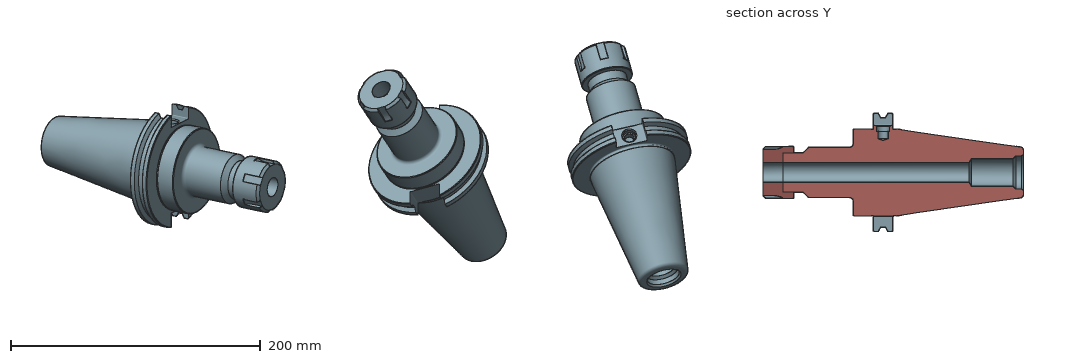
import cadquery as cq
import math

total_length = 208.8
gauge_x = 101.5
gauge_land_end_x = 102.0
flange_front_x = 104.5
flange_width = 15.9
relief_width = 1.3
collar_end_x = 136.5
shank_end_x = 172.3
nut_rear_x = 184.0

gauge_diameter = 70.0
taper_ratio = 7 / 24
flange_diameter = 98.1
relief_diameter = 69.3
shank_diameter = 40.5
nose_diameter = 32.0
small_end_fillet = 3.1
shank_fillet = 3.0
flange_fillet = 0.8
edge_chamfer = 0.6

groove_bottom_diameter = 91.5
groove_bottom_width = 3.8
groove_side_angle = 30.0

notch_width = 25.5
upper_notch_floor_z = 37.5
lower_notch_floor_z = -35.0
notch_fillet = 0.6
screw_hole_diameter = 8.0
screw_hole_depth = 10.5
screw_counterbore_diameter = 10.2
screw_counterbore_depth = 4.8
screw_mouth_diameter = 12.1
screw_mouth_angle = 90.0
drill_point_angle = 140.0

through_diameter = 15.7
mouth_diameter = 28.4
mouth_depth = 1.9
counterbore_diameter = 26.3
counterbore_depth = 6.3
thread_bore_diameter = 22.0
thread_bore_depth = 41.8
thread_bore_end_angle = 118.0

nut_diameter = 42.0
nut_front_chamfer = 2.0
nose_insertion = 8.8
slot_count = 6
slot_width = 6.5
slot_start_x = 193.1
slot_start_radius = 20.3
slot_flat_x = 200.6
slot_floor_radius = 18.5

flange_rear_x = flange_front_x + flange_width
flange_middle_x = flange_front_x + flange_width / 2
flange_radius = flange_diameter / 2
small_end_diameter = gauge_diameter - taper_ratio * gauge_x
nose_end_x = nut_rear_x + nose_insertion


def cylinder_x(diameter, start_x, end_x):
    """Cylinder on the X axis between two stations."""
    return cq.Workplane("YZ", origin=(start_x, 0, 0)).circle(diameter / 2).extrude(end_x - start_x)


def revolve_x(profile):
    """Full turn of an XY profile (Y is the radius) about the X axis."""
    return profile.close().revolve(360, (0, 0, 0), (1, 0, 0))


def taper():
    small_radius = small_end_diameter / 2
    profile = (
        cq.Workplane("XY")
        .moveTo(0, 0)
        .lineTo(0, small_radius)
        .lineTo(gauge_x, gauge_diameter / 2)
        .lineTo(gauge_x, 0)
    )
    return revolve_x(profile).faces("<X").edges().fillet(small_end_fillet)


def flange():
    disc = cylinder_x(flange_diameter, flange_front_x, flange_rear_x).edges().chamfer(edge_chamfer)
    return disc.cut(flange_groove())


def flange_groove():
    bottom_radius = groove_bottom_diameter / 2
    bottom_half = groove_bottom_width / 2
    depth = flange_radius - bottom_radius
    top_half = bottom_half + depth * math.tan(math.radians(groove_side_angle))
    profile = (
        cq.Workplane("XY")
        .moveTo(flange_middle_x - bottom_half, bottom_radius)
        .lineTo(flange_middle_x + bottom_half, bottom_radius)
        .lineTo(flange_middle_x + top_half, flange_radius)
        .lineTo(flange_middle_x - top_half, flange_radius)
    )
    return revolve_x(profile)


def collar():
    """Narrow gauge land, filleted front neck, relief behind the flange and rear collar."""
    neck_radius = relief_diameter / 2
    profile = (
        cq.Workplane("XY")
        .moveTo(gauge_x, 0)
        .lineTo(gauge_x, gauge_diameter / 2)
        .lineTo(gauge_land_end_x, gauge_diameter / 2)
        .lineTo(gauge_land_end_x, neck_radius)
        .lineTo(flange_front_x - flange_fillet, neck_radius)
        .radiusArc((flange_front_x, neck_radius + flange_fillet), -flange_fillet)
        .lineTo(flange_rear_x, neck_radius + flange_fillet)
        .lineTo(flange_rear_x, 0)
    )
    front_neck = revolve_x(profile)
    relief = cylinder_x(relief_diameter, flange_rear_x, flange_rear_x + relief_width)
    rear_land = cylinder_x(gauge_diameter, flange_rear_x + relief_width, collar_end_x)
    rear_land = rear_land.faces(">X").edges().chamfer(edge_chamfer)
    return front_neck.union(relief).union(rear_land)


def shank_and_nose():
    """Shank with a concave root fillet, a 45 degree shoulder and the nose that carries the nut."""
    shank_radius = shank_diameter / 2
    nose_radius = nose_diameter / 2
    shoulder = shank_radius - nose_radius
    profile = (
        cq.Workplane("XY")
        .moveTo(collar_end_x, 0)
        .lineTo(collar_end_x, shank_radius + shank_fillet)
        .radiusArc((collar_end_x + shank_fillet, shank_radius), -shank_fillet)
        .lineTo(shank_end_x, shank_radius)
        .lineTo(shank_end_x + shoulder, nose_radius)
        .lineTo(nose_end_x, nose_radius)
        .lineTo(nose_end_x, 0)
    )
    return revolve_x(profile)


def bore():
    mouth_radius = mouth_diameter / 2
    counterbore_radius = counterbore_diameter / 2
    thread_radius = thread_bore_diameter / 2
    through_radius = through_diameter / 2
    shoulder_depth = counterbore_depth + counterbore_radius - thread_radius
    bore_end_slope = math.tan(math.radians(thread_bore_end_angle / 2))
    bore_end_depth = thread_bore_depth + (thread_radius - through_radius) / bore_end_slope
    profile = (
        cq.Workplane("XY")
        .moveTo(0, 0)
        .lineTo(0, mouth_radius)
        .lineTo(mouth_depth, counterbore_radius)
        .lineTo(counterbore_depth, counterbore_radius)
        .lineTo(shoulder_depth, thread_radius)
        .lineTo(thread_bore_depth, thread_radius)
        .lineTo(bore_end_depth, through_radius)
        .lineTo(nose_end_x, through_radius)
        .lineTo(nose_end_x, 0)
    )
    return revolve_x(profile)


def drive_notch(floor_z):
    """Notch through the flange, from its floor outward past the rim on the same side of the axis."""
    notch = (
        cq.Workplane("XY")
        .box(flange_width, notch_width, flange_radius - abs(floor_z), centered=(True, True, False))
        .faces("<Z")
        .edges("|X")
        .fillet(notch_fillet)
        .translate((flange_middle_x, 0, abs(floor_z)))
    )
    if floor_z < 0:
        notch = notch.rotate((0, 0, 0), (1, 0, 0), 180)
    return notch


def screw_hole():
    """Stepped blind hole with a chamfered mouth and a drill point, sunk into the upper notch floor."""
    hole_radius = screw_hole_diameter / 2
    counterbore_radius = screw_counterbore_diameter / 2
    mouth_radius = screw_mouth_diameter / 2
    mouth_bottom = (mouth_radius - counterbore_radius) / math.tan(math.radians(screw_mouth_angle / 2))
    point_depth = hole_radius / math.tan(math.radians(drill_point_angle / 2))
    profile = (
        cq.Workplane("XZ")
        .moveTo(0, 0)
        .lineTo(mouth_radius, 0)
        .lineTo(counterbore_radius, -mouth_bottom)
        .lineTo(counterbore_radius, -screw_counterbore_depth)
        .lineTo(hole_radius, -screw_counterbore_depth)
        .lineTo(hole_radius, -screw_hole_depth)
        .lineTo(0, -screw_hole_depth - point_depth)
        .close()
        .revolve(360, (0, 0, 0), (0, 1, 0))
    )
    return profile.translate((flange_middle_x, 0, upper_notch_floor_z))


def make_holder():
    body = taper().union(collar()).union(flange()).union(shank_and_nose())
    for floor_z in (upper_notch_floor_z, lower_notch_floor_z):
        body = body.cut(drive_notch(floor_z))
    return body.cut(screw_hole()).cut(bore())


def wrench_slot():
    """Open-ended slot at the top of the nut, with a curved run-out at its closed end."""
    outer_radius = nut_diameter / 2
    run = slot_flat_x - slot_start_x
    rise = slot_start_radius - slot_floor_radius
    runout_radius = (run**2 + rise**2) / (2 * rise)
    return (
        cq.Workplane("XZ")
        .moveTo(slot_start_x, outer_radius)
        .lineTo(slot_start_x, slot_start_radius)
        .radiusArc((slot_flat_x, slot_floor_radius), -runout_radius)
        .lineTo(total_length, slot_floor_radius)
        .lineTo(total_length, outer_radius)
        .close()
        .extrude(slot_width / 2, both=True)
    )


def make_nut():
    nut = cylinder_x(nut_diameter, nut_rear_x, total_length)
    nut = nut.faces(">X").edges().chamfer(nut_front_chamfer)
    nut = nut.faces("<X").edges().chamfer(edge_chamfer)
    nut = nut.cut(cylinder_x(nose_diameter, nut_rear_x, nose_end_x))
    nut = nut.cut(cylinder_x(through_diameter, nose_end_x, total_length))
    for index in range(slot_count):
        nut = nut.cut(wrench_slot().rotate((0, 0, 0), (1, 0, 0), index * 360 / slot_count))
    return nut


holder = make_holder()
nut = make_nut()

result = cq.Compound.makeCompound([holder.val(), nut.val()])